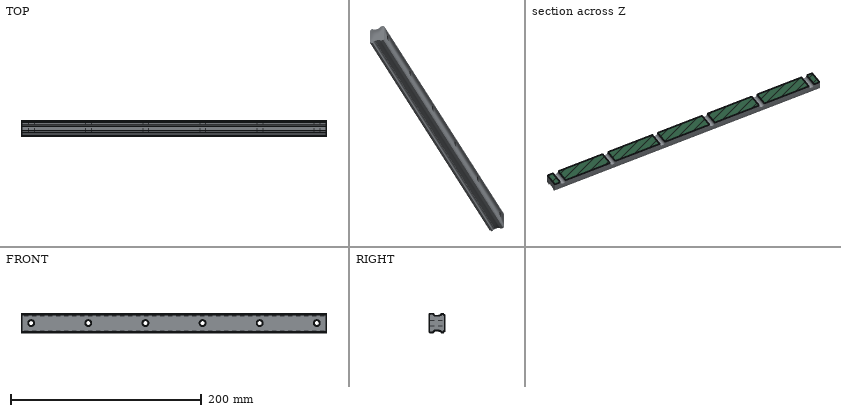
import cadquery as cq
import math

length = 320.0
height = 16.5
width = 20.0
half_length = length / 2
half_height = height / 2
half_width = width / 2

hole_diameter = 6.0
hole_pitch = 60.0
hole_count = 6

base_chamfer = 1.0

head_track_run = 1.85
head_track_drop = 1.75
head_track_sag = 0.33

groove_depth = 2.05
lip_radius = 0.2
lip_foot_y = 4.7
floor_head_y = 2.35
inner_step = 0.45
inner_track_sag = 0.65
floor_base_y = -2.35
base_lip_y = floor_base_y - groove_depth

lip_inset = lip_radius * (1 - math.sqrt(0.5))


def sagged_middle(start, end, sag):
    """Middle of an arc from start to end, bulging by sag to the right of that direction."""
    (y0, z0), (y1, z1) = start, end
    chord = math.hypot(y1 - y0, z1 - z0)
    return ((y0 + y1) / 2 + sag * (z1 - z0) / chord, (z0 + z1) / 2 - sag * (y1 - y0) / chord)


def make_half_rail():
    """Extrude the half of the cross-section above Z = 0 along X."""
    floor_z = half_width - groove_depth
    inner_track_end = (floor_head_y, floor_z + inner_step)
    lip_foot = (lip_foot_y, half_width - lip_radius)
    lip_middle = (lip_foot_y + lip_inset, half_width - lip_inset)
    lip_top = (lip_foot_y + lip_radius, half_width)
    track_start = (half_height - head_track_run, half_width)
    track_end = (half_height, half_width - head_track_drop)
    section = (
        cq.Workplane("YZ", origin=(-half_length, 0, 0))
        .moveTo(-half_height, 0)
        .lineTo(-half_height, half_width - base_chamfer)
        .lineTo(-half_height + base_chamfer, half_width)
        .lineTo(base_lip_y, half_width)
        .lineTo(floor_base_y, floor_z)
        .lineTo(floor_head_y, floor_z)
        .lineTo(*inner_track_end)
        .threePointArc(sagged_middle(inner_track_end, lip_foot, inner_track_sag), lip_foot)
        .threePointArc(lip_middle, lip_top)
        .lineTo(*track_start)
        .threePointArc(sagged_middle(track_start, track_end, head_track_sag), track_end)
        .lineTo(half_height, 0)
        .close()
    )
    return section.extrude(length)


def make_rail():
    """Join the half rail with its mirror image about Z = 0."""
    half_rail = make_half_rail()
    return half_rail.union(half_rail.mirror("XY")).clean()


def make_bolt_holes():
    """Row of cylinders through the full height, centred along the rail."""
    cutters = cq.Workplane("XZ", origin=(0, half_height, 0))
    return cutters.rarray(hole_pitch, 1, hole_count, 1).circle(hole_diameter / 2).extrude(height)


result = make_rail().cut(make_bolt_holes())